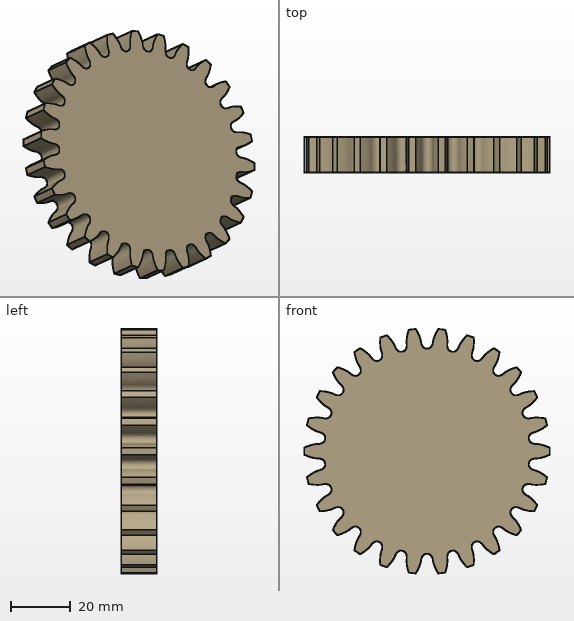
import cadquery as cq
import math

tooth_count = 26
module = 3.0
pressure_angle = math.radians(20)
profile_shift = -0.3
addendum = 1.0
dedendum = 1.25
rack_tip_rounding = 0.38
face_width = 12.0
curve_steps = 8

pitch_radius = module * tooth_count / 2
base_radius = pitch_radius * math.cos(pressure_angle)
tip_radius = pitch_radius + module * (addendum + profile_shift)
root_radius = pitch_radius - module * (dedendum - profile_shift)
pitch_angle = 2 * math.pi / tooth_count

pitch_half_thickness = module * (math.pi / 4 + profile_shift * math.tan(pressure_angle))
base_half_angle = pitch_half_thickness / pitch_radius + math.tan(pressure_angle) - pressure_angle

corner_radius = rack_tip_rounding * module
rack_tip_half_width = module * (math.pi / 4 - dedendum * math.tan(pressure_angle))
corner_inset = corner_radius * (1 / math.cos(pressure_angle) - math.tan(pressure_angle))
corner_offset = rack_tip_half_width - corner_inset
corner_depth = pitch_radius - root_radius - corner_radius

root_roll = corner_offset / pitch_radius
form_roll = (corner_offset - corner_depth / math.tan(pressure_angle)) / pitch_radius

form_contact = base_radius * math.tan(pressure_angle)
form_contact -= corner_depth / math.sin(pressure_angle) + corner_radius
involute_start = form_contact / base_radius
involute_end = math.sqrt((tip_radius / base_radius) ** 2 - 1)


def fillet_point(roll):
    """Radius and angle from the tooth centre of a root fillet point."""
    along = corner_offset - pitch_radius * roll
    reach = 1 + corner_radius / math.hypot(corner_depth, along)
    radial = pitch_radius - corner_depth * reach
    tangential = along * reach
    angle_from_gap = math.atan2(tangential, radial) + roll
    return math.hypot(radial, tangential), pitch_angle / 2 - angle_from_gap


def involute_point(roll):
    """Radius and angle from the tooth centre of an involute point."""
    return base_radius * math.hypot(1, roll), base_half_angle - (roll - math.atan(roll))


def sample(curve, start, end):
    """Evenly spaced points on a curve, both ends included."""
    return [curve(start + (end - start) * i / curve_steps) for i in range(curve_steps + 1)]


def place(polar_points, tooth_angle, side):
    """Put polar points on one side (-1 or +1) of the tooth at tooth_angle."""
    return [
        (r * math.cos(tooth_angle + side * a), r * math.sin(tooth_angle + side * a))
        for r, a in polar_points
    ]


def on_circle(radius, angle):
    """Point at an angle on a circle about the gear axis."""
    return radius * math.cos(angle), radius * math.sin(angle)


fillet = sample(fillet_point, root_roll, form_roll)
involute = sample(involute_point, involute_start, involute_end)


def add_tooth(outline, tooth_angle):
    """Extend the outline up one flank, over the tip, down the other and along the root."""
    outline = outline.spline(place(fillet[1:], tooth_angle, -1), includeCurrent=True)
    outline = outline.spline(place(involute[1:], tooth_angle, -1), includeCurrent=True)
    tip_end = place(involute[-1:], tooth_angle, 1)[0]
    outline = outline.threePointArc(on_circle(tip_radius, tooth_angle), tip_end)
    outline = outline.spline(place(involute[-2::-1], tooth_angle, 1), includeCurrent=True)
    outline = outline.spline(place(fillet[-2::-1], tooth_angle, 1), includeCurrent=True)
    next_root = place(fillet[:1], tooth_angle + pitch_angle, -1)[0]
    return outline.threePointArc(on_circle(root_radius, tooth_angle + pitch_angle / 2), next_root)


def make_gear():
    """Gear centred on the origin, with one tooth pointing along +X."""
    start = place(fillet[:1], 0, -1)[0]
    outline = cq.Workplane("XZ", origin=(0, face_width / 2, 0)).moveTo(*start)
    for tooth in range(tooth_count):
        outline = add_tooth(outline, tooth * pitch_angle)
    return outline.close().extrude(face_width)


result = make_gear()